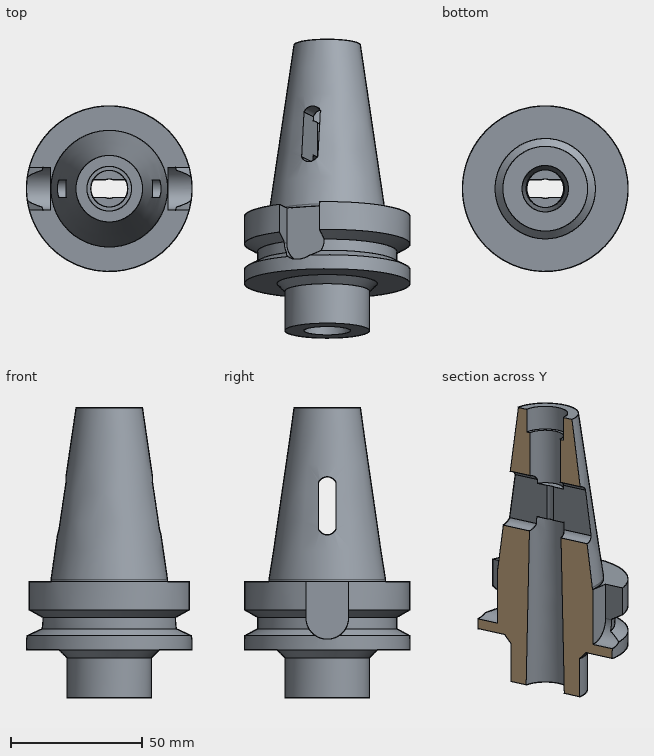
import cadquery as cq

total_height = 110.4

nose_radius = 16.1
nose_top = 15.2
nose_cone_radius = 19.1

flange_radius = 63.0 / 2
flange_bottom = 18.2
flange_top = 44.2
groove_radius = 26.5
lower_rim_top = 23.6
groove_bottom = 26.3
groove_top = 30.6
upper_rim_bottom = 33.5

taper_rate = 7 / 24
shank_radius = 22.2
taper_start = 45.0
shank_tip_radius = shank_radius - (total_height - taper_start) * taper_rate / 2

bore_mouth_radius = 8.5
bore_mouth_depth = 9.0
bore_radius = 7.0
bore_depth = 30.0

socket_mouth_radius = 8.8
socket_depth = 67.0
socket_taper_rate = 0.05
socket_end_radius = socket_mouth_radius - socket_depth * socket_taper_rate / 2
link_radius = 3.6

drift_width = 6.6
drift_bottom = 62.0
drift_top = 84.0
drift_end_radius = 3.6

key_width = 16.2
key_bottom = 22.3
key_face_offset = 22.4


def make_body():
    profile = [
        (0, 0),
        (nose_radius, 0),
        (nose_radius, nose_top),
        (nose_cone_radius, flange_bottom),
        (flange_radius, flange_bottom),
        (flange_radius, lower_rim_top),
        (groove_radius, groove_bottom),
        (groove_radius, groove_top),
        (flange_radius, upper_rim_bottom),
        (flange_radius, flange_top),
        (shank_radius, flange_top),
        (shank_radius, taper_start),
        (shank_tip_radius, total_height),
        (0, total_height),
    ]
    return cq.Workplane("XZ").polyline(profile).close().revolve(360, (0, 0), (0, 1))


def make_axial_bore():
    bore_floor = total_height - bore_depth
    bore_step = total_height - bore_mouth_depth
    profile = [
        (0, 0),
        (socket_mouth_radius, 0),
        (socket_end_radius, socket_depth),
        (link_radius, socket_depth),
        (link_radius, bore_floor),
        (bore_radius, bore_floor),
        (bore_radius, bore_step),
        (bore_mouth_radius, bore_step),
        (bore_mouth_radius, total_height),
        (0, total_height),
    ]
    return cq.Workplane("XZ").polyline(profile).close().revolve(360, (0, 0), (0, 1))


def make_drift_slot():
    """Slot along X whose end arcs are slightly flatter than semicircles."""
    half_width = drift_width / 2
    arc_rise = drift_end_radius - (drift_end_radius**2 - half_width**2) ** 0.5
    side_bottom = drift_bottom + arc_rise
    side_top = drift_top - arc_rise
    return (
        cq.Workplane("YZ")
        .moveTo(-half_width, side_bottom)
        .threePointArc((0, drift_bottom), (half_width, side_bottom))
        .lineTo(half_width, side_top)
        .threePointArc((0, drift_top), (-half_width, side_top))
        .close()
        .extrude(flange_radius, both=True)
    )


def make_keyway(side):
    """Keyway open at the flange top and outer rim; side is +1 or -1 along X."""
    half_width = key_width / 2
    arc_center = key_bottom + half_width
    return (
        cq.Workplane("YZ", origin=(side * key_face_offset, 0, 0))
        .moveTo(-half_width, flange_top)
        .lineTo(-half_width, arc_center)
        .threePointArc((0, key_bottom), (half_width, arc_center))
        .lineTo(half_width, flange_top)
        .close()
        .extrude(side * flange_radius)
    )


result = make_body().cut(make_axial_bore()).cut(make_drift_slot())
for side in (-1, 1):
    result = result.cut(make_keyway(side))